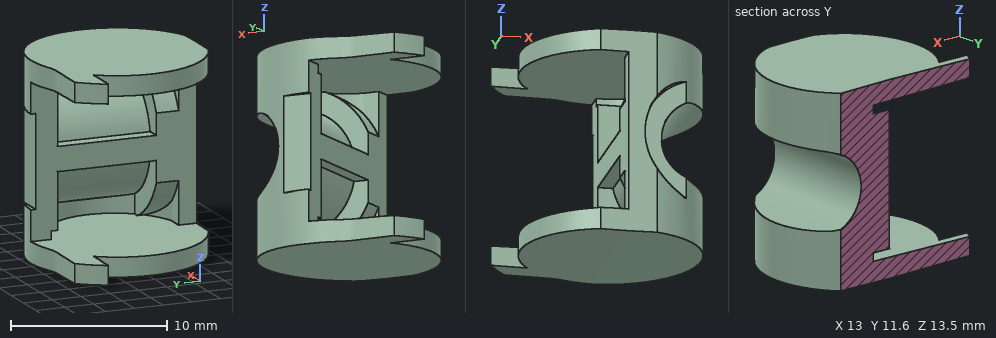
import cadquery as cq
import math

height = 13.5
half_height = height / 2
body_radius = 5.93
flat_y = -5.63
reach = 2 * body_radius

plate_thickness = 1.47
taper_drop = 0.6
taper_length = 53.0

arm_tip_radius = 7.95
arm_front_y = 3.58
arm_back_y = 5.4
arm_blend_radius = 2.7

bore_x = 5.13
bore_radius = 2.73
bore_flare_angle = math.radians(5)
counterbore_radius = 4.08
counterbore_floor_y = -4.36

recess_floor_y = 5.6
recess_half_height = 3.17

outer_wall = 1.43
bore_wall_thickness = 1.48
backing = 1.55
cavity_radius = body_radius - outer_wall
web_half_height = 0.84


def block(x_range, y_range, z_half):
    """Box between the given X and Y limits, centred on Z = 0."""
    x_min, x_max = x_range
    y_min, y_max = y_range
    return (
        cq.Workplane("XY")
        .box(x_max - x_min, y_max - y_min, 2 * z_half, centered=(False, False, True))
        .translate((x_min, y_min, 0))
    )


def cross_cylinder(radius, y_min, y_max):
    """Cylinder on the bore axis."""
    return (
        cq.Workplane("XZ", origin=(bore_x, y_min, 0))
        .circle(radius)
        .extrude(y_min - y_max)
    )


def ridged_prism(peak, drop_left, drop_right):
    """Prism along Y of the given half height at X = 0, sloping away to -X and to +X."""
    left = peak - drop_left * reach / taper_length
    right = peak - drop_right * reach / taper_length
    points = [(-reach, left), (0, peak), (reach, right), (reach, -right), (0, -peak), (-reach, -left)]
    return cq.Workplane("XZ").polyline(points).close().extrude(reach, both=True)


def make_arm():
    """Straight arm with an arc tip, blended into the round body."""
    tip_front = (-math.sqrt(arm_tip_radius**2 - arm_front_y**2), arm_front_y)
    tip_back = (-math.sqrt(arm_tip_radius**2 - arm_back_y**2), arm_back_y)
    tip_angle = (math.atan2(tip_front[1], tip_front[0]) + math.atan2(tip_back[1], tip_back[0])) / 2
    tip_middle = (arm_tip_radius * math.cos(tip_angle), arm_tip_radius * math.sin(tip_angle))

    blend_y = arm_back_y + arm_blend_radius
    center_distance = body_radius + arm_blend_radius
    blend_x = -math.sqrt(center_distance**2 - blend_y**2)
    blend_end = (body_radius * blend_x / center_distance, body_radius * blend_y / center_distance)

    return (
        cq.Workplane("XY", origin=(0, 0, -half_height))
        .moveTo(0, arm_front_y)
        .lineTo(*tip_front)
        .threePointArc(tip_middle, tip_back)
        .lineTo(blend_x, arm_back_y)
        .radiusArc(blend_end, -arm_blend_radius)
        .lineTo(0, blend_end[1])
        .close()
        .extrude(height)
    )


def make_cavity():
    """Round hollow behind the X = 0 face, less the walls that stay inside it."""
    hollow = cq.Workplane("XY", origin=(0, 0, -half_height)).circle(cavity_radius).extrude(height)
    hollow = hollow.intersect(block((0, reach), (counterbore_floor_y, reach), half_height))
    backing_y = counterbore_floor_y + backing
    bore_wall = cross_cylinder(bore_radius + bore_wall_thickness, -reach, reach)
    counterbore_wall = cross_cylinder(counterbore_radius + backing, -reach, backing_y)
    web = block((0, bore_x), (-reach, reach), web_half_height)
    recess_wall = block((0, reach), (recess_floor_y - backing, reach), recess_half_height + backing)
    return hollow.cut(bore_wall).cut(counterbore_wall).cut(web).cut(recess_wall)


def make_bore():
    """Round bore whose sides flare out towards +X."""
    tangent_x = bore_x - bore_radius * math.sin(bore_flare_angle)
    tangent_z = bore_radius * math.cos(bore_flare_angle)
    mouth_z = tangent_z + (reach - tangent_x) * math.tan(bore_flare_angle)
    return (
        cq.Workplane("XZ")
        .moveTo(tangent_x, tangent_z)
        .threePointArc((bore_x - bore_radius, 0), (tangent_x, -tangent_z))
        .lineTo(reach, -mouth_z)
        .lineTo(reach, mouth_z)
        .close()
        .extrude(reach, both=True)
    )


disc = cq.Workplane("XY", origin=(0, 0, -half_height)).circle(body_radius).extrude(height)
disc = disc.intersect(block((-reach, reach), (flat_y, reach), half_height))
body = disc.union(make_arm()).intersect(ridged_prism(half_height, taper_drop, taper_drop))

between_plates = ridged_prism(half_height - plate_thickness, -taper_drop, taper_drop)
open_side = block((-reach, 0), (-reach, reach), half_height)
body = body.cut(between_plates.intersect(open_side.union(make_cavity())))

body = body.cut(make_bore())
body = body.cut(cross_cylinder(counterbore_radius, -reach, counterbore_floor_y))
result = body.cut(block((0, reach), (recess_floor_y, reach), recess_half_height))